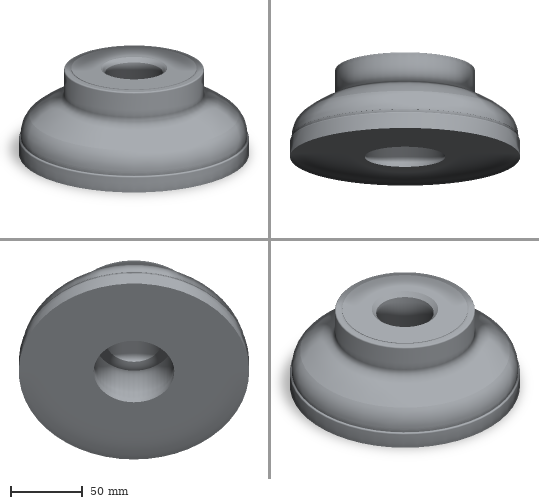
import cadquery as cq

pad_radius = 80.0
lip_height = 11.8
lip_round = 1.0
seat_height = 6.4
pad_bore_radius = 28.0

foot_radius = 78.5
foot_top = 14.0
shoulder_start_radius = 78.7
shoulder_start_height = 14.9
shoulder_end_radius = 72.8
shoulder_end_height = 28.5
flank_top_radius = 50.5
flank_top_height = 41.3
flank_arc_radius = 80.0

neck_radius = 48.6
neck_bottom = 44.2
neck_round = 1.0
total_height = 63.0
face_diameter = 87.2
face_radius = face_diameter / 2
face_rise = 0.5
rim_height = total_height - face_rise

bore_radius = 20.0
bore_chamfer = 3.0
counterbore_radius = pad_bore_radius
counterbore_top = 34.1


def arc_midpoint(start, end, tangent):
    """Midpoint of the arc that leaves start along a unit tangent and reaches end."""
    chord = cq.Vector(*end) - cq.Vector(*start)
    across = cq.Vector(-tangent.y, tangent.x)
    radius = chord.dot(chord) / (2 * chord.dot(across))
    centre = cq.Vector(*start) + across * radius
    middle = cq.Vector(*start) + chord * 0.5
    midpoint = centre + (middle - centre).normalized() * abs(radius)
    return midpoint.x, midpoint.y


def make_pad():
    """Ring with a shallow round recess in its top and a rounded lip edge."""
    pad = cq.Workplane("XY").circle(pad_radius).extrude(lip_height)
    pad = pad.faces(">Z").edges().fillet(lip_round)
    recess = (
        cq.Workplane("XY").workplane(offset=seat_height)
        .circle(foot_radius).extrude(lip_height - seat_height)
    )
    bore = cq.Workplane("XY").circle(pad_bore_radius).extrude(lip_height)
    return pad.cut(recess).cut(bore).solids()


def make_dome():
    """Dome and neck, revolved from one half section around Z."""
    shoulder_start = (shoulder_start_radius, shoulder_start_height)
    shoulder_end = (shoulder_end_radius, shoulder_end_height)
    shoulder_middle = arc_midpoint(shoulder_start, shoulder_end, cq.Vector(0, 1))
    section = (
        cq.Workplane("XZ")
        .moveTo(counterbore_radius, seat_height)
        .lineTo(foot_radius, seat_height)
        .lineTo(foot_radius, foot_top)
        .lineTo(shoulder_start_radius, foot_top)
        .lineTo(*shoulder_start)
        .threePointArc(shoulder_middle, shoulder_end)
        .radiusArc((flank_top_radius, flank_top_height), -flank_arc_radius)
        .threePointArc(
            arc_midpoint(
                (neck_radius, neck_bottom), (flank_top_radius, flank_top_height), cq.Vector(0, -1)
            ),
            (neck_radius, neck_bottom),
        )
        .lineTo(neck_radius, rim_height - neck_round)
        .radiusArc((neck_radius - neck_round, rim_height), -neck_round)
        .lineTo(face_radius, rim_height)
        .lineTo(face_radius, total_height)
        .lineTo(bore_radius + bore_chamfer, total_height)
        .lineTo(bore_radius, total_height - bore_chamfer)
        .lineTo(bore_radius, counterbore_top)
        .lineTo(counterbore_radius, counterbore_top)
        .close()
    )
    return section.revolve(360, (0, 0, 0), (0, 1, 0))


pad = make_pad()
dome = make_dome()
result = cq.Compound.makeCompound([pad.val(), dome.val()])